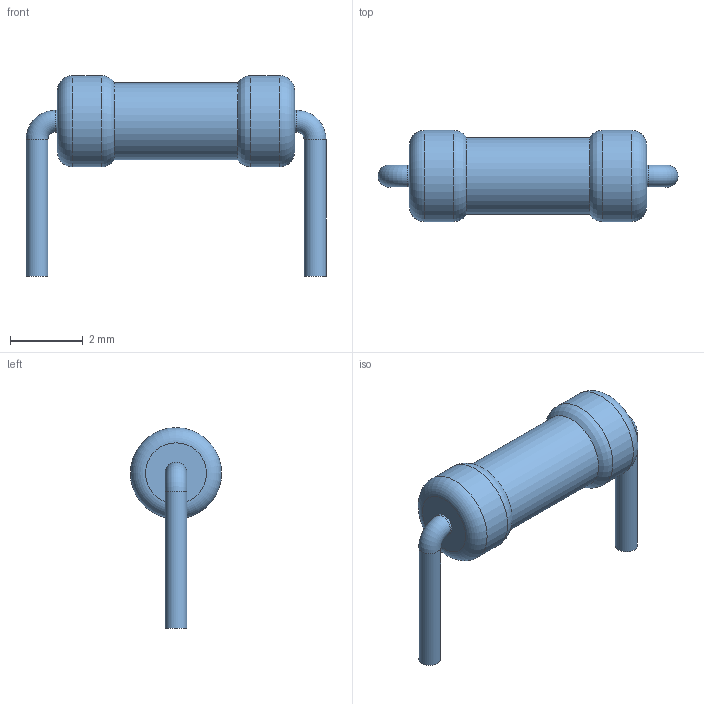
import cadquery as cq

body_length = 6.5
core_diameter = 2.1
cap_diameter = 2.5
cap_length = body_length / 4
cap_edge_radius = cap_diameter / 6

lead_diameter = 0.6
lead_spacing = 7.62
lead_bend_radius = 0.5
overall_height = 5.5

lead_x = lead_spacing / 2
lead_bottom_z = cap_diameter / 2 - overall_height
bend_start_x = lead_x - lead_bend_radius
lead_root_x = body_length / 2 - cap_length / 2


def make_core():
    """Cylinder joining the outer halves of the two end caps."""
    core_length = body_length - cap_length
    return cq.Workplane("YZ").circle(core_diameter / 2).extrude(core_length / 2, both=True)


def make_cap():
    """End cap on the +X side, rounded on both rims."""
    inner_x = body_length / 2 - cap_length
    cap = cq.Workplane("YZ", origin=(inner_x, 0, 0)).circle(cap_diameter / 2).extrude(cap_length)
    return cap.edges("%CIRCLE").fillet(cap_edge_radius)


def make_lead():
    """Lead on the +X side: out of the cap, around a quarter bend, straight down."""
    horizontal = (
        cq.Workplane("YZ", origin=(lead_root_x, 0, 0))
        .circle(lead_diameter / 2)
        .extrude(bend_start_x - lead_root_x)
    )
    bend = (
        cq.Workplane("YZ", origin=(bend_start_x, 0, 0))
        .circle(lead_diameter / 2)
        .revolve(90, (0, -lead_bend_radius, 0), (1, -lead_bend_radius, 0))
    )
    vertical = (
        cq.Workplane("XY", origin=(lead_x, 0, lead_bottom_z))
        .circle(lead_diameter / 2)
        .extrude(-lead_bend_radius - lead_bottom_z)
    )
    return horizontal.union(bend).union(vertical)


result = make_core()
for end_part in (make_cap(), make_lead()):
    result = result.union(end_part).union(end_part.mirror("YZ"))